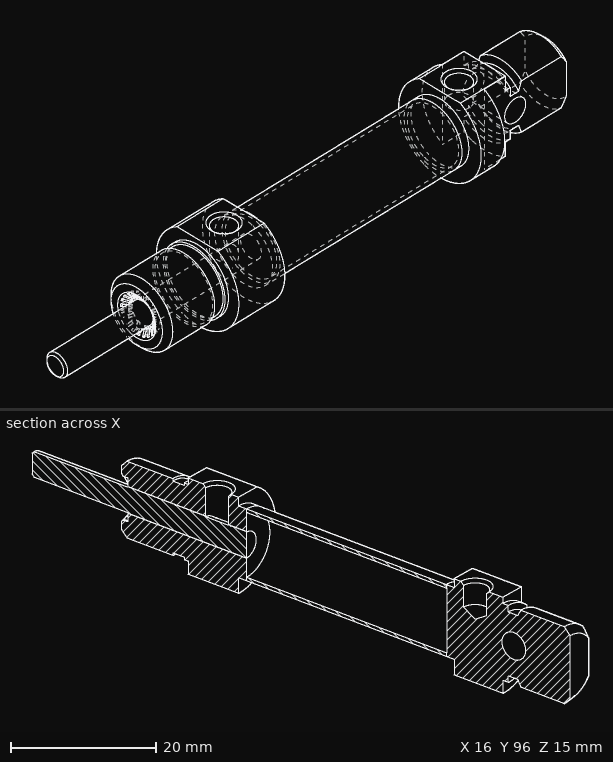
import cadquery as cq
import math

OVERALL_LENGTH = 96.0
TIP_Y = -OVERALL_LENGTH / 2

BLOCK_DIAMETER = 16.0
BLOCK_RADIUS = BLOCK_DIAMETER / 2
OVERALL_HEIGHT = 15.0
FLAT_Z = OVERALL_HEIGHT - BLOCK_RADIUS
THREAD_DIAMETER = 12.0
GROOVE_DIAMETER = 10.0
GROOVE_FLANK_ANGLE = 60.0
TUBE_DIAMETER = 11.2
TUBE_BORE = 10.0
PORT_DIAMETER = 4.0
PORT_MOUTH_DIAMETER = 5.0
PORT_MOUTH_DEPTH = 0.5

NOSE_FRONT = 15.9
NOSE_FACE_DIAMETER = 10.0
NOSE_CHAMFER = (THREAD_DIAMETER - NOSE_FACE_DIAMETER) / 2
NOSE_REAR = 25.2
NECK_REAR = 27.2
FRONT_BLOCK_FRONT = 27.8
FRONT_BLOCK_REAR = 36.9
FRONT_CAP_REAR = 38.3
FRONT_PORT_AT = 33.0

RECESS_DIAMETER = 7.4
RECESS_DEPTH = 1.2
TOOTH_COUNT = 20
SLOT_ROOT_DIAMETER = 6.7
SLOT_WIDTH = 0.4
RECESS_FLOOR_DIAMETER = 4.4

ROD_DIAMETER = 4.0
ROD_CHAMFER = 0.4

REAR_CAP_FRONT = 73.9
REAR_BLOCK_FRONT = 75.3
FLATS_FRONT = 79.9
REAR_BLOCK_REAR = 84.0
COLLAR_REAR = 85.0
GROOVE_REAR = 86.6
TANG_CHAMFER = 1.1
TANG_WIDTH = 8.1
REAR_PORT_AT = 79.0
REAR_PORT_DEPTH = 3.8
DRILL_POINT_ANGLE = 118.0
PIN_HOLE_DIAMETER = 4.1
PIN_HOLE_AT = 85.9


def cylinder(diameter, start, end):
    """Solid cylinder on the axis between two stations."""
    plane = cq.Plane(origin=(0, TIP_Y + start, 0), xDir=(1, 0, 0), normal=(0, 1, 0))
    return cq.Workplane(plane).circle(diameter / 2).extrude(end - start)


def turned(profile):
    """Solid of revolution about the axis from (radius, station) points."""
    points = [(radius, TIP_Y + station) for radius, station in profile]
    outline = cq.Workplane("XY").polyline(points).close()
    return outline.revolve(360, (0, 0, 0), (0, 1, 0))


def flat_topped_block(start, end):
    """Round block with a flat on its +Z side for the air port."""
    block = cylinder(BLOCK_DIAMETER, start, end)
    side = BLOCK_DIAMETER
    flat_cutter = cq.Workplane("XY").box(side, OVERALL_LENGTH, side, centered=(True, True, False))
    return block.cut(flat_cutter.translate((0, 0, FLAT_Z)))


def port_cutter(station, depth, point_depth):
    """Drill shape entering the flat: tapered mouth, straight wall, conical point."""
    radius = PORT_DIAMETER / 2
    profile = [
        (0, FLAT_Z),
        (PORT_MOUTH_DIAMETER / 2, FLAT_Z),
        (radius, FLAT_Z - PORT_MOUTH_DEPTH),
        (radius, FLAT_Z - depth),
        (0, FLAT_Z - depth - point_depth),
    ]
    drill = cq.Workplane("XZ").polyline(profile).close().revolve(360, (0, 0, 0), (0, 1, 0))
    return drill.translate((0, TIP_Y + station, 0))


def make_seal_cutter():
    """Conical recess with radial slots that leave teeth around its sloping wall."""
    floor = NOSE_FRONT + RECESS_DEPTH
    cutter = turned([
        (0, NOSE_FRONT),
        (RECESS_DIAMETER / 2, NOSE_FRONT),
        (RECESS_FLOOR_DIAMETER / 2, floor),
        (0, floor),
    ])
    slot_size = (SLOT_ROOT_DIAMETER / 2, RECESS_DEPTH, SLOT_WIDTH)
    slot = cq.Workplane("XY").box(*slot_size, centered=(False, False, True))
    slot = slot.translate((0, TIP_Y + NOSE_FRONT, 0))
    for index in range(TOOTH_COUNT):
        angle = index * 360 / TOOTH_COUNT
        cutter = cutter.union(slot.rotate((0, 0, 0), (0, 1, 0), angle))
    return cutter


def make_front_cap():
    """Threaded nose, neck, ported block and the collar that meets the tube."""
    nose_radius = THREAD_DIAMETER / 2
    neck_radius = TUBE_DIAMETER / 2
    cap = turned([
        (0, NOSE_FRONT),
        (nose_radius - NOSE_CHAMFER, NOSE_FRONT),
        (nose_radius, NOSE_FRONT + NOSE_CHAMFER),
        (nose_radius, NOSE_REAR),
        (neck_radius, NOSE_REAR),
        (neck_radius, NECK_REAR),
        (nose_radius, NECK_REAR),
        (nose_radius, FRONT_BLOCK_FRONT),
        (neck_radius, FRONT_BLOCK_FRONT),
        (neck_radius, FRONT_CAP_REAR),
        (0, FRONT_CAP_REAR),
    ])
    cap = cap.union(flat_topped_block(FRONT_BLOCK_FRONT, FRONT_BLOCK_REAR))
    cap = cap.cut(cylinder(ROD_DIAMETER, NOSE_FRONT, FRONT_CAP_REAR))
    cap = cap.cut(make_seal_cutter())
    return cap.cut(port_cutter(FRONT_PORT_AT, FLAT_Z, 0))


def make_tube():
    """Plain sleeve between the collars of the two caps."""
    sleeve = cylinder(TUBE_DIAMETER, FRONT_CAP_REAR, REAR_CAP_FRONT)
    return sleeve.cut(cylinder(TUBE_BORE, FRONT_CAP_REAR, REAR_CAP_FRONT))


def make_rear_cap():
    """Collar, ported block and a flattened, grooved tang with a cross pin hole."""
    tang_radius = THREAD_DIAMETER / 2
    groove_radius = GROOVE_DIAMETER / 2
    collar_radius = TUBE_DIAMETER / 2
    groove_slope = (tang_radius - groove_radius) / math.tan(math.radians(GROOVE_FLANK_ANGLE))
    cap = turned([
        (0, REAR_CAP_FRONT),
        (collar_radius, REAR_CAP_FRONT),
        (collar_radius, REAR_BLOCK_REAR),
        (tang_radius, REAR_BLOCK_REAR),
        (tang_radius, COLLAR_REAR),
        (groove_radius, COLLAR_REAR),
        (groove_radius, GROOVE_REAR),
        (tang_radius, GROOVE_REAR + groove_slope),
        (tang_radius, OVERALL_LENGTH - TANG_CHAMFER),
        (tang_radius - TANG_CHAMFER, OVERALL_LENGTH),
        (0, OVERALL_LENGTH),
    ])
    cap = cap.union(flat_topped_block(REAR_BLOCK_FRONT, REAR_BLOCK_REAR))
    side_size = (BLOCK_RADIUS, OVERALL_LENGTH - FLATS_FRONT, BLOCK_DIAMETER)
    side_cutter = cq.Workplane("XY").box(*side_size, centered=(False, False, True))
    side_cutter = side_cutter.translate((TANG_WIDTH / 2, TIP_Y + FLATS_FRONT, 0))
    cap = cap.cut(side_cutter).cut(side_cutter.mirror("YZ"))
    pin_hole = cq.Workplane("YZ").center(TIP_Y + PIN_HOLE_AT, 0).circle(PIN_HOLE_DIAMETER / 2)
    cap = cap.cut(pin_hole.extrude(TANG_WIDTH, both=True))
    point_depth = PORT_DIAMETER / 2 / math.tan(math.radians(DRILL_POINT_ANGLE / 2))
    return cap.cut(port_cutter(REAR_PORT_AT, REAR_PORT_DEPTH, point_depth))


def make_rod():
    """Piston rod from its chamfered tip to the inner face of the front cap."""
    return cylinder(ROD_DIAMETER, 0, FRONT_CAP_REAR).faces("<Y").chamfer(ROD_CHAMFER)


front_cap = make_front_cap()
tube = make_tube()
rear_cap = make_rear_cap()
rod = make_rod()
result = cq.Compound.makeCompound([front_cap.val(), tube.val(), rear_cap.val(), rod.val()])